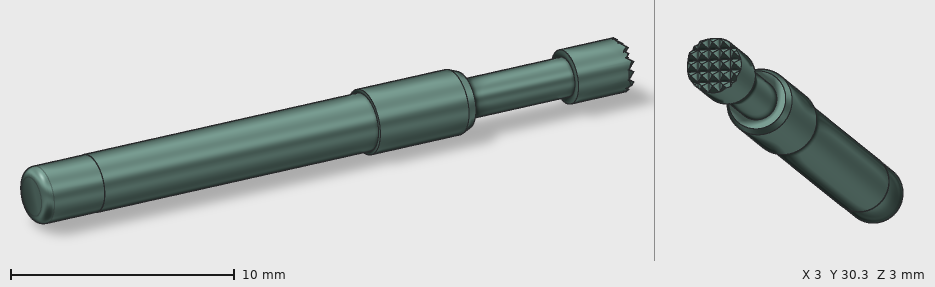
import cadquery as cq

total_length = 30.3

barrel_diameter = 2.67
tail_diameter = 2.65
collar_diameter = 3.0
collar_tip_diameter = 2.65
shaft_diameter = 1.82
head_diameter = 2.48

tail_length = 3.0
tail_round = 0.42
collar_length = 5.0
collar_lead_in = 0.45
head_length = 2.97
plunger_length = 8.27

teeth_across = 5
tooth_pitch = head_diameter / teeth_across
tooth_height = 0.4

barrel_radius = barrel_diameter / 2
tail_radius = tail_diameter / 2
collar_radius = collar_diameter / 2
collar_tip_radius = collar_tip_diameter / 2
shaft_radius = shaft_diameter / 2
head_radius = head_diameter / 2

collar_end = total_length - plunger_length
collar_start = collar_end - collar_length
head_start = total_length - head_length


def make_body():
    """Revolved tail, barrel, collar, shaft and blank head."""
    profile = (
        cq.Workplane("XY")
        .moveTo(0, 0)
        .lineTo(tail_radius - tail_round, 0)
        .radiusArc((tail_radius, tail_round), -tail_round)
        .lineTo(tail_radius, tail_length)
        .lineTo(barrel_radius, tail_length)
        .lineTo(barrel_radius, collar_start)
        .lineTo(collar_radius, collar_start)
        .lineTo(collar_radius, collar_end - collar_lead_in)
        .lineTo(collar_tip_radius, collar_end)
        .lineTo(shaft_radius, collar_end)
        .lineTo(shaft_radius, head_start)
        .lineTo(head_radius, head_start)
        .lineTo(head_radius, total_length)
        .lineTo(0, total_length)
        .close()
    )
    return profile.revolve(360, (0, 0, 0), (0, 1, 0))


def make_grooves():
    """Cutter of V grooves running along Z, one on each boundary between rows of teeth."""
    grooves = cq.Workplane("XY")
    valley = total_length - tooth_height
    for boundary in range(teeth_across + 1):
        center = boundary * tooth_pitch - head_radius
        groove = (
            cq.Workplane("XY")
            .moveTo(center, valley)
            .lineTo(center + tooth_pitch / 2, total_length)
            .lineTo(center - tooth_pitch / 2, total_length)
            .close()
            .extrude(head_diameter, both=True)
        )
        grooves = grooves.add(groove)
    return grooves.combine()


grooves = make_grooves()
crossing_grooves = grooves.rotate((0, 0, 0), (0, 1, 0), 90)
result = make_body().cut(grooves).cut(crossing_grooves)